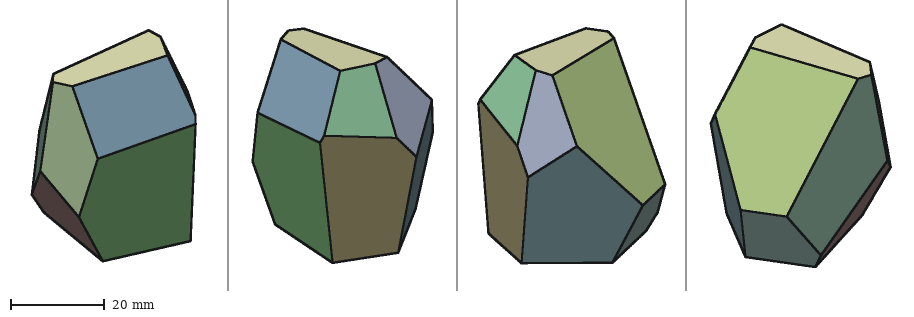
import cadquery as cq

length = 38.65
depth = 39.05
height = 44.2

base_left_back = (6.7, 25.35, 0)
base_back = (22.25, 36.8, 0)
base_right_back = (35.55, 30.57, 0)
base_right_front = (33.35, 10.05, 0)
base_left_front = (8.9, 10.05, 0)

left_back = (0, 23.5, 15.5)
left_front = (1.45, 13.35, 15.5)
front_foot = (7.3, 8.0, 4.2)
front_nose = (24.12, 0, 20.55)
right_front_low = (34.05, 3.65, 13.0)
right_front_high = (35.9, 7.25, 27.25)
right_tip = (length, 29.95, 30.4)
right_back = (37.85, 30.4, 32.07)
back_ridge = (23.15, 37.25, 28.75)
back_tip = (19.0, depth, 23.15)
left_shoulder = (9.85, 33.95, 31.55)

top_left_back = (19.17, 29.95, 44.0)
top_left_front = (20.7, 5.3, 41.25)
top_front = (23.6, 3.55, 41.15)
top_right_front = (27.85, 5.8, 41.55)
top_right_back = (30.75, 27.75, 44.15)
top_back = (23.15, 30.5, height)

top_facets = [
    (top_left_back, top_front, top_right_back),
]
left_facets = [
    (top_left_front, top_left_back, left_back),
    (left_back, base_left_back, front_foot),
]
front_facets = [
    (left_front, front_nose, top_left_front),
    (front_nose, base_right_front, base_left_front),
    (front_nose, right_front_high, top_front),
]
right_facets = [
    (base_right_back, right_tip, right_front_low),
    (top_right_front, right_front_high, right_back),
]
back_facets = [
    (base_back, left_back, left_shoulder),
    (left_shoulder, top_back, back_tip),
    (right_back, back_ridge, top_back),
    (right_back, base_right_back, back_tip),
]

block_margin = 4.4
cutter_size = 4 * height
core = cq.Vector(length / 2, depth / 2, height / 2)


def outside_of(corners):
    """Return a large block filling the outer side of the plane through three corners."""
    first, second, third = [cq.Vector(*corner) for corner in corners]
    normal = (second - first).cross(third - first)
    if normal.dot(first - core) < 0:
        normal = normal * -1
    facet_plane = cq.Plane(origin=first, normal=normal)
    return cq.Workplane(facet_plane).box(
        cutter_size, cutter_size, cutter_size, centered=(True, True, False)
    )


result = (
    cq.Workplane("XY")
    .box(
        length + 2 * block_margin,
        depth + 2 * block_margin,
        height + block_margin,
        centered=(True, True, False),
    )
    .translate((core.x, core.y, 0))
)
for facet in top_facets + left_facets + front_facets + right_facets + back_facets:
    result = result.cut(outside_of(facet))